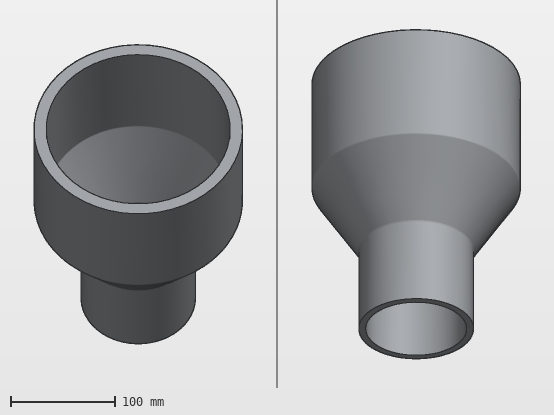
import cadquery as cq

total_height = 275.0
large_diameter = 200.0
small_diameter = 110.0
large_wall = 11.8
small_wall = 6.5

large_length = 117.0
small_length = 87.2

blend_radius = 3.0

cone_bottom = small_length
cone_top = total_height - large_length


def stepped_cone(lower_radius, upper_radius):
    """Solid of revolution: lower cylinder, cone and upper cylinder with blended joints."""
    body = (
        cq.Workplane("XZ")
        .moveTo(0, 0)
        .lineTo(lower_radius, 0)
        .lineTo(lower_radius, cone_bottom)
        .lineTo(upper_radius, cone_top)
        .lineTo(upper_radius, total_height)
        .lineTo(0, total_height)
        .close()
        .revolve(360, (0, 0, 0), (0, 1, 0))
    )
    joints = body.faces("%CONE").edges("%CIRCLE")
    return joints.fillet(blend_radius)


outside = stepped_cone(small_diameter / 2, large_diameter / 2)
bore = stepped_cone(small_diameter / 2 - small_wall, large_diameter / 2 - large_wall)

result = outside.cut(bore)